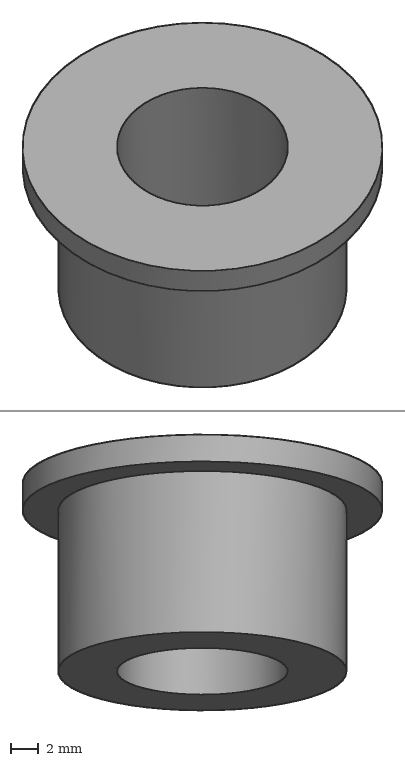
import cadquery as cq

total_height = 13.94
flange_diameter = 25.7
flange_thickness = 2.0
sleeve_diameter = 20.6
bore_diameter = 12.2

sleeve_height = total_height - flange_thickness


def make_sleeve():
    """Cylindrical body below the flange."""
    return cq.Workplane("XY").circle(sleeve_diameter / 2).extrude(sleeve_height)


def make_flange():
    """Round collar on top of the sleeve."""
    base = cq.Workplane("XY").workplane(offset=sleeve_height)
    return base.circle(flange_diameter / 2).extrude(flange_thickness)


def make_bore():
    """Through bore along the axis."""
    return cq.Workplane("XY").circle(bore_diameter / 2).extrude(total_height)


result = make_sleeve().union(make_flange()).cut(make_bore())